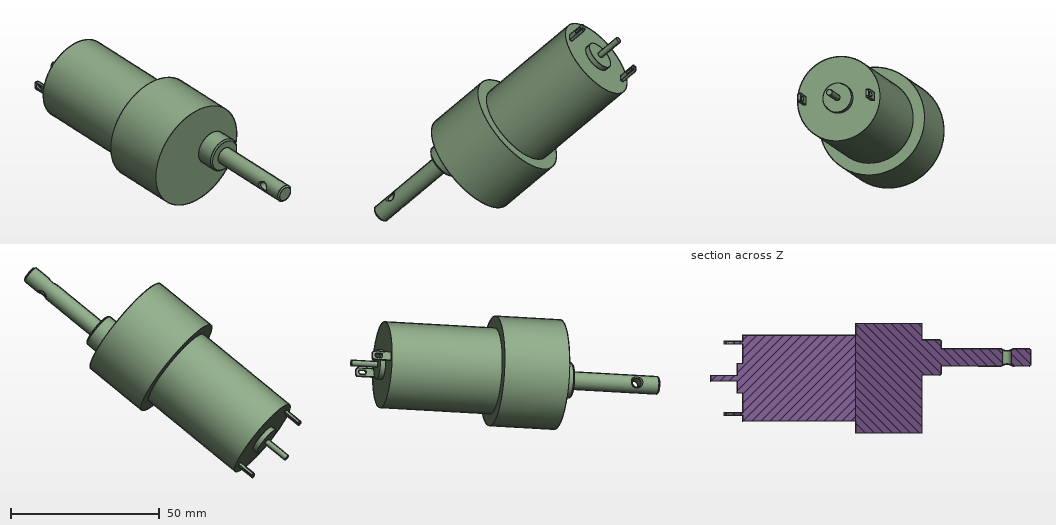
import cadquery as cq


can_diameter = 29.0
can_length = 38.0
rear_boss_diameter = 10.0
rear_boss_length = 1.8
rear_shaft_diameter = 2.0
rear_shaft_reach = 10.7

terminal_spacing = 24.0
terminal_length = 6.3
terminal_height = 2.8
terminal_thickness = 1.0
terminal_chamfer = 0.4
terminal_slot_length = 2.6
terminal_slot_height = 1.5
terminal_slot_to_tip = 2.2

gearbox_diameter = 37.0
gearbox_length = 22.4
output_offset = 7.0
front_boss_diameter = 12.0
front_boss_length = 6.4
front_boss_chamfer = 0.5
output_shaft_diameter = 6.0
output_shaft_reach = 36.5
output_shaft_chamfer = 0.5
cross_hole_diameter = 3.0
cross_hole_chamfer = 0.5
cross_hole_to_tip = 8.0


def rod(diameter, start, end, offset=0):
    """Round rod along X from start to end, with its axis moved by offset along Y."""
    return (
        cq.Workplane("YZ", origin=(start, offset, 0))
        .circle(diameter / 2)
        .extrude(end - start)
    )


def make_terminal(offset):
    """Flat solder lug with a chamfered tip and a slot through its thickness."""
    lug = (
        cq.Workplane("XY")
        .box(terminal_length, terminal_thickness, terminal_height)
        .translate((-terminal_length / 2, offset, 0))
        .faces("<X")
        .edges("|Y")
        .chamfer(terminal_chamfer)
    )
    slot_x = terminal_slot_to_tip - terminal_length
    slot = (
        cq.Workplane("XZ", origin=(slot_x, offset, 0))
        .slot2D(terminal_slot_length, terminal_slot_height)
        .extrude(terminal_thickness, both=True)
    )
    return lug.cut(slot)


def make_motor():
    motor = rod(can_diameter, 0, can_length)
    motor = motor.union(rod(rear_boss_diameter, -rear_boss_length, 0))
    motor = motor.union(rod(rear_shaft_diameter, -rear_shaft_reach, 0))
    for side in (-1, 1):
        motor = motor.union(make_terminal(side * terminal_spacing / 2))
    return motor


def make_output_shaft(start, tip):
    """Output shaft with a chamfered tip and a cross hole along Y, chamfered at both mouths."""
    shaft = rod(output_shaft_diameter, start, tip, output_offset)
    shaft = shaft.faces(">X").chamfer(output_shaft_chamfer)
    hole_x = tip - cross_hole_to_tip
    cross_hole = (
        cq.Workplane("XZ", origin=(hole_x, output_offset, 0))
        .circle(cross_hole_diameter / 2)
        .extrude(output_shaft_diameter, both=True)
    )
    mouth_region = cq.selectors.BoxSelector(
        (hole_x - cross_hole_diameter, output_offset - output_shaft_diameter, -cross_hole_diameter),
        (hole_x + cross_hole_diameter, output_offset + output_shaft_diameter, cross_hole_diameter),
    )
    mouth_edges = mouth_region - cq.selectors.TypeSelector("LINE")
    return shaft.cut(cross_hole).edges(mouth_edges).chamfer(cross_hole_chamfer)


def make_gearbox():
    front_x = can_length + gearbox_length
    tip_x = front_x + output_shaft_reach
    gearbox = rod(gearbox_diameter, can_length, front_x)
    front_boss = rod(front_boss_diameter, front_x, front_x + front_boss_length, output_offset)
    gearbox = gearbox.union(front_boss.faces(">X").chamfer(front_boss_chamfer))
    return gearbox.union(make_output_shaft(front_x, tip_x))


motor = make_motor()
gearbox = make_gearbox()
result = cq.Compound.makeCompound([motor.val(), gearbox.val()])